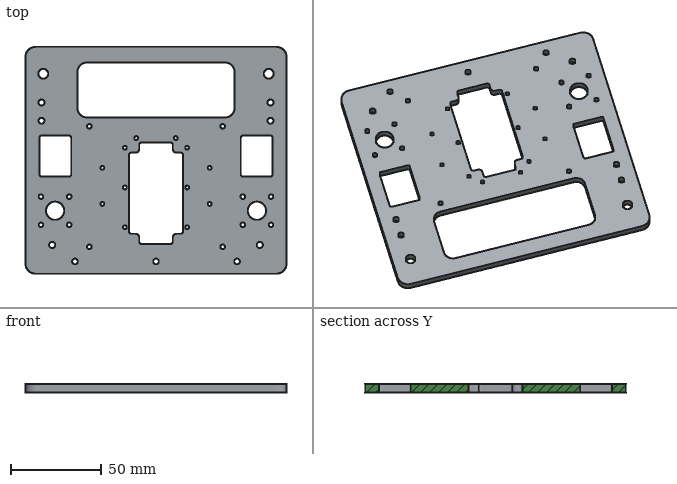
import cadquery as cq

LENGTH = 145.0
WIDTH = 126.0
THICKNESS = 5.0
CORNER_RADIUS = 5.8

WIDE_LENGTH = 87.0
WIDE_WIDTH = 30.3
WIDE_Y = 39.0
WIDE_RADIUS = 5.1

SIDE_LENGTH = 17.4
SIDE_WIDTH = 22.6
SIDE_X = 55.8
SIDE_Y = 2.3
SIDE_RADIUS = 1.0

CENTRE_LENGTH = 29.9
CENTRE_WIDTH = 56.3
CENTRE_Y = -18.3
NOTCH_SIZE = 5.7
NOTCH_RADIUS = 2.0
CENTRE_RADIUS = 1.3

BORE_DIAMETER = 10.0
BORE_X = 56.0
BORE_Y = -28.0
BORE_SCREW_OFFSET = 7.8
BORE_SCREW_DIAMETER = 2.5

CORNER_DIAMETER = 5.4
CORNER_PLACES = [(62.5, 48.0)]

SIDE_HOLE_DIAMETER = 3.2
SIDE_HOLE_PLACES = [(63.5, 32.0), (63.5, 21.9)]

BOARD_DIAMETER = 2.5
BOARD_PLACES = [(37.0, 18.8), (37.0, -48.0)]

SMALL_DIAMETER = 2.0
SMALL_PITCH = 22.0
SMALL_X = 17.3
SMALL_MIDDLE_Y = -15.1
SMALL_COLUMN_PLACES = [(SMALL_X, SMALL_MIDDLE_Y + step * SMALL_PITCH) for step in (-1, 0, 1)]
SMALL_OTHER_PLACES = [(11.0, 12.3), (29.7, -4.2), (29.7, -24.2)]

FRONT_CORNER_DIAMETER = 3.3
FRONT_CORNER_PLACES = [(57.5, -47.0)]

FRONT_ROW_DIAMETER = 3.0
FRONT_ROW_PITCH = 45.0
FRONT_ROW_Y = -56.1


def rounded_block(length, width, radius, x=0.0, y=0.0):
    """Plate-thick block centred at (x, y), with its upright edges rounded."""
    block = cq.Workplane("XY").box(length, width, THICKNESS)
    return block.edges("|Z").fillet(radius).translate((x, y, 0))


def drill(plate, diameter, places):
    """Cut through holes at the given places."""
    pins = cq.Workplane("XY").pushPoints(places).circle(diameter / 2).extrude(THICKNESS / 2, both=True)
    return plate.cut(pins)


def mirrored(places):
    """Each place together with its mirror image about the YZ plane."""
    return [(side * x, y) for side in (-1, 1) for x, y in places]


def centre_window():
    """Cross-shaped block: outer corners and re-entrant corners rounded separately."""
    narrow_length = CENTRE_LENGTH - 2 * NOTCH_SIZE
    short_width = CENTRE_WIDTH - 2 * NOTCH_SIZE
    block = cq.Workplane("XY").box(CENTRE_LENGTH, short_width, THICKNESS)
    block = block.union(cq.Workplane("XY").box(narrow_length, CENTRE_WIDTH, THICKNESS))
    inner_corners = cq.selectors.BoxSelector(
        (-narrow_length / 2 - CENTRE_RADIUS, -short_width / 2 - CENTRE_RADIUS, -THICKNESS),
        (narrow_length / 2 + CENTRE_RADIUS, short_width / 2 + CENTRE_RADIUS, THICKNESS),
    )
    upright = cq.selectors.ParallelDirSelector(cq.Vector(0, 0, 1))
    outer_corners = block.edges(upright - inner_corners)
    block = outer_corners.fillet(CENTRE_RADIUS)
    block = block.edges(upright & inner_corners).fillet(NOTCH_RADIUS)
    return block.translate((0, CENTRE_Y, 0))


plate = rounded_block(LENGTH, WIDTH, CORNER_RADIUS)

plate = plate.cut(rounded_block(WIDE_LENGTH, WIDE_WIDTH, WIDE_RADIUS, y=WIDE_Y))
for x, y in mirrored([(SIDE_X, SIDE_Y)]):
    plate = plate.cut(rounded_block(SIDE_LENGTH, SIDE_WIDTH, SIDE_RADIUS, x, y))
plate = plate.cut(centre_window())

bore_screw_places = [
    (BORE_X + i * BORE_SCREW_OFFSET, BORE_Y + j * BORE_SCREW_OFFSET) for i in (-1, 1) for j in (-1, 1)
]
plate = drill(plate, BORE_DIAMETER, mirrored([(BORE_X, BORE_Y)]))
plate = drill(plate, BORE_SCREW_DIAMETER, mirrored(bore_screw_places))

plate = drill(plate, CORNER_DIAMETER, mirrored(CORNER_PLACES))
plate = drill(plate, SIDE_HOLE_DIAMETER, mirrored(SIDE_HOLE_PLACES))
plate = drill(plate, BOARD_DIAMETER, mirrored(BOARD_PLACES))
plate = drill(plate, SMALL_DIAMETER, mirrored(SMALL_COLUMN_PLACES + SMALL_OTHER_PLACES))
plate = drill(plate, FRONT_CORNER_DIAMETER, mirrored(FRONT_CORNER_PLACES))
plate = drill(plate, FRONT_ROW_DIAMETER, [(i * FRONT_ROW_PITCH, FRONT_ROW_Y) for i in (-1, 0, 1)])

result = plate